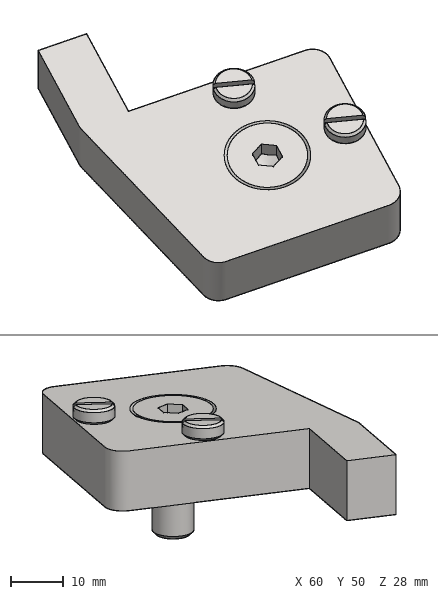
import cadquery as cq
import math

plate_length = 60.0
plate_width = 50.0
plate_thickness = 12.0
arm_length = plate_length / 3
arm_width = plate_width / 5
corner_radius = 3.6

bolt_x = (arm_length + plate_length) / 2
bolt_y = (arm_width + plate_width) / 2
bolt_diameter = 8.0
bolt_tip_z = -13.0
bolt_tip_chamfer = 0.8
clearance_diameter = 9.0
sink_diameter = 16.4
bolt_head_diameter = 15.25
hex_across_flats = 5.0
hex_depth = 3.0
hex_floor_cone_depth = 1.45

head_top_z = plate_thickness
head_base_z = head_top_z - (bolt_head_diameter - bolt_diameter) / 2
sink_base_z = plate_thickness - (sink_diameter - clearance_diameter) / 2

button_diameter = 8.0
button_height = 3.0
button_chamfer = 0.5
slot_width = 0.95
slot_depth = 1.25
slot_angle = 73.5
button_positions = [
    (bolt_x, plate_width - button_diameter / 2),
    (arm_length + button_diameter / 2, bolt_y),
]


def revolved(profile):
    """Turn a closed (radius, z) profile about the Z axis."""
    return cq.Workplane("XZ").polyline(profile).close().revolve(360, (0, 0), (0, 1))


def make_plate():
    outline = [
        (0, 0),
        (arm_length, 0),
        (plate_length, arm_width),
        (plate_length, plate_width),
        (arm_length, plate_width),
        (arm_length, arm_width),
        (0, arm_width),
    ]
    rounded_corners = outline[1:5]
    plate = cq.Workplane("XY").polyline(outline).close().extrude(plate_thickness)
    for x, y in rounded_corners:
        corner = cq.selectors.NearestToPointSelector((x, y, plate_thickness / 2))
        plate = plate.edges("|Z").edges(corner).fillet(corner_radius)

    countersunk_hole = revolved([
        (0, 0),
        (clearance_diameter / 2, 0),
        (clearance_diameter / 2, sink_base_z),
        (sink_diameter / 2, plate_thickness),
        (0, plate_thickness),
    ])
    return plate.cut(countersunk_hole.translate((bolt_x, bolt_y, 0)))


def make_bolt():
    shank_radius = bolt_diameter / 2
    body = revolved([
        (0, bolt_tip_z),
        (shank_radius - bolt_tip_chamfer, bolt_tip_z),
        (shank_radius, bolt_tip_z + bolt_tip_chamfer),
        (shank_radius, head_base_z),
        (bolt_head_diameter / 2, head_top_z),
        (0, head_top_z),
    ])

    hex_across_corners = hex_across_flats / math.cos(math.pi / 6)
    hex_radius = hex_across_corners / 2
    floor_z = head_top_z - hex_depth
    floor_tip_z = floor_z - hex_floor_cone_depth
    hex_prism = (
        cq.Workplane("XY", origin=(0, 0, floor_tip_z))
        .polygon(6, hex_across_corners)
        .extrude(head_top_z - floor_tip_z)
    )
    pointed_bore = revolved([
        (0, floor_tip_z),
        (hex_radius, floor_z),
        (hex_radius, head_top_z),
        (0, head_top_z),
    ])
    socket = hex_prism.intersect(pointed_bore)
    return body.cut(socket).translate((bolt_x, bolt_y, 0))


def make_button(x, y):
    head = (
        cq.Workplane("XY")
        .circle(button_diameter / 2)
        .extrude(button_height)
        .faces("<Z or >Z")
        .edges()
        .chamfer(button_chamfer)
    )
    slot = (
        cq.Workplane("XY", origin=(0, 0, button_height - slot_depth))
        .transformed(rotate=(0, 0, slot_angle))
        .rect(2 * button_diameter, slot_width)
        .extrude(slot_depth)
    )
    return head.cut(slot).translate((x, y, plate_thickness))


plate = make_plate()
bolt = make_bolt()
buttons = [make_button(x, y) for x, y in button_positions]

result = cq.Compound.makeCompound([
    plate.val(),
    bolt.val(),
    *[button.val() for button in buttons],
])